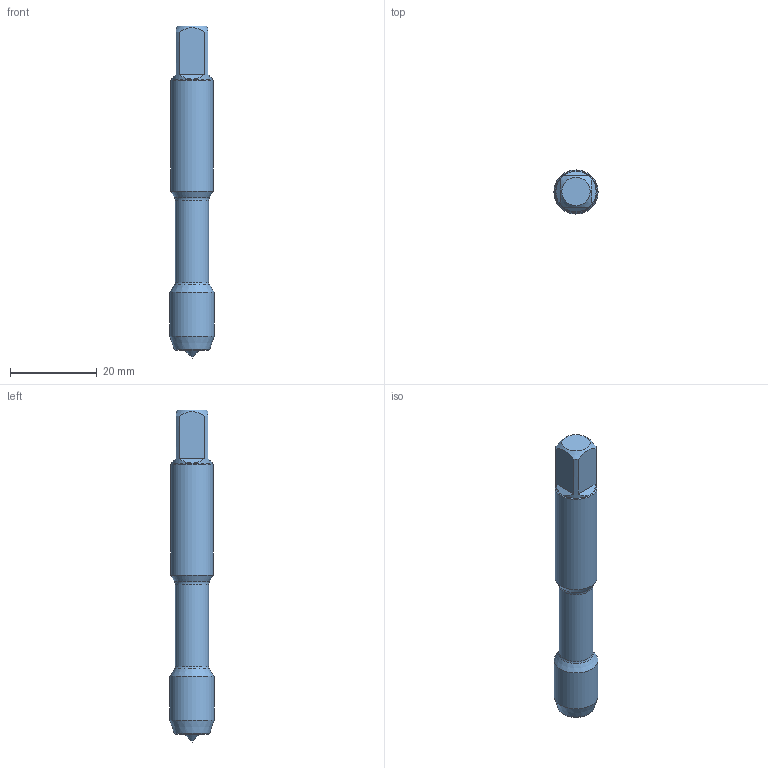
import cadquery as cq
import math

total_length = 76.33

thread_diameter = 10.14
shank_diameter = 9.68
square_stock_diameter = 9.29
neck_diameter = 7.7
nose_diameter = neck_diameter
top_face_diameter = 6.5

square_width = 7.25
square_length = 11.18

shank_top = 63.82
shank_bottom = 38.36
thread_top = 15.09
thread_taper_top = 5.0
point_height = 1.73

shoulder_angle = math.radians(30)
upper_neck_fillet = 1.5
lower_neck_fillet = 0.95
nose_chamfer = 0.26

thread_radius = thread_diameter / 2
shank_radius = shank_diameter / 2
square_stock_radius = square_stock_diameter / 2
neck_radius = neck_diameter / 2
nose_radius = nose_diameter / 2
top_face_radius = top_face_diameter / 2
square_bottom = total_length - square_length


def neck_blend(outer_radius, outer_height, fillet_radius, direction):
    """Points of a conical shoulder blended into the neck by a tangent arc.

    Returns the cone end, the arc middle and the arc end on the neck.
    direction is +1 when the neck lies above the shoulder and -1 when below.
    """

    def arc_point(angle):
        radius = neck_radius + fillet_radius * (1 - math.cos(angle))
        rise_to_neck = fillet_radius * math.sin(angle)
        return radius, rise_to_neck

    cone_end_radius, arc_rise = arc_point(shoulder_angle)
    arc_middle_radius, middle_rise = arc_point(shoulder_angle / 2)
    cone_rise = (outer_radius - cone_end_radius) / math.tan(shoulder_angle)
    neck_height = outer_height + direction * (cone_rise + arc_rise)
    return (
        (cone_end_radius, neck_height - direction * arc_rise),
        (arc_middle_radius, neck_height - direction * middle_rise),
        (neck_radius, neck_height),
    )


def half_profile():
    """Sketch plane for a revolved outline: radius across, height above the tip upward."""
    return cq.Workplane("XZ")


def revolve_about_z(outline):
    return outline.close().revolve(360, (0, 0, 0), (0, 1, 0))


def square_side_cutter():
    """Waste beside the +X flat of the driving square, with a 45 degree runout below it."""
    flat = square_width / 2
    reach = thread_diameter
    return (
        half_profile()
        .moveTo(flat, total_length)
        .lineTo(flat, square_bottom)
        .lineTo(flat + reach, square_bottom - reach)
        .lineTo(flat + reach, total_length)
        .close()
        .extrude(thread_diameter, both=True)
    )


def make_shank():
    """Upper body: neck with its two shoulders, plain shank and driving square."""
    top_chamfer = square_stock_radius - top_face_radius
    shank_chamfer = shank_radius - square_stock_radius
    lower_cone_end, lower_arc_middle, neck_bottom = neck_blend(
        thread_radius, thread_top, lower_neck_fillet, 1
    )
    upper_cone_end, upper_arc_middle, neck_top = neck_blend(
        shank_radius, shank_bottom, upper_neck_fillet, -1
    )
    shank = revolve_about_z(
        half_profile()
        .moveTo(0, thread_top)
        .lineTo(thread_radius, thread_top)
        .lineTo(*lower_cone_end)
        .threePointArc(lower_arc_middle, neck_bottom)
        .lineTo(*neck_top)
        .threePointArc(upper_arc_middle, upper_cone_end)
        .lineTo(shank_radius, shank_bottom)
        .lineTo(shank_radius, shank_top)
        .lineTo(square_stock_radius, shank_top + shank_chamfer)
        .lineTo(square_stock_radius, total_length - top_chamfer)
        .lineTo(top_face_radius, total_length)
        .lineTo(0, total_length)
    )
    cutter = square_side_cutter()
    for side in range(4):
        shank = shank.cut(cutter.rotate((0, 0, 0), (0, 0, 1), 90 * side))
    return shank


def make_threaded_end():
    """Lower body: plain thread cylinder, tapered lead, chamfered nose and 90 degree centre point."""
    point_radius = point_height
    return revolve_about_z(
        half_profile()
        .moveTo(0, 0)
        .lineTo(point_radius, point_height)
        .lineTo(nose_radius, point_height)
        .lineTo(nose_radius + nose_chamfer, point_height + nose_chamfer)
        .lineTo(thread_radius, thread_taper_top)
        .lineTo(thread_radius, thread_top)
        .lineTo(0, thread_top)
    )


shank = make_shank()
threaded_end = make_threaded_end()

result = cq.Compound.makeCompound([shank.val(), threaded_end.val()])